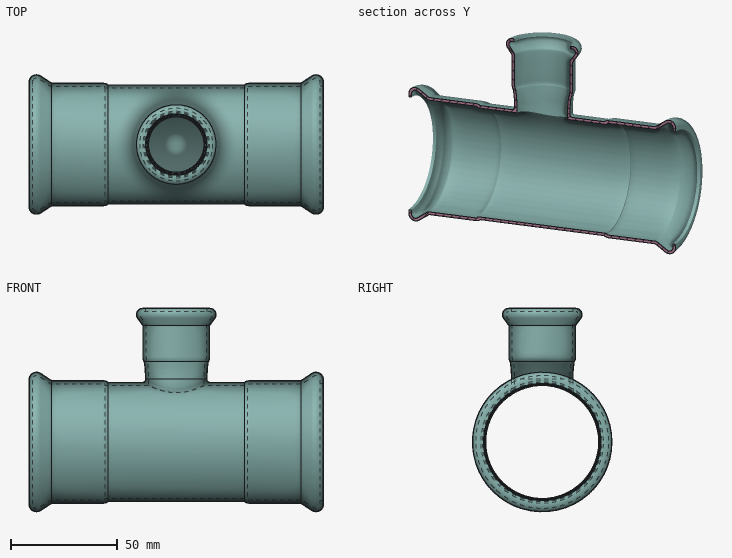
import cadquery as cq
import math


run_half_length = 69.0
run_tube_radius = 56.0 / 2
run_tube_bore_radius = 53.0 / 2
run_socket_radius = 57.5 / 2
run_socket_bore_radius = 54.4 / 2
run_step_start = 32.0
run_step_end = 34.2
run_stop_depth = 0.75
run_flare_start = 58.4
run_bead_outer_radius = 65.46 / 2
run_bead_roll_radius = 3.5
run_lip_radius = 55.0 / 2

branch_top = 62.7
branch_joint = 29.5
branch_tube_radius = 29.0 / 2
branch_tube_bore_radius = 26.0 / 2
branch_socket_radius = 31.3 / 2
branch_socket_bore_radius = 28.2 / 2
branch_neck_start = 31.2
branch_shoulder_start = 37.65
branch_shoulder_end = 39.7
branch_shoulder_radius = 15.05
branch_flare_start = 54.55
branch_bead_outer_radius = 37.3 / 2
branch_bead_roll_radius = 3.0
branch_lip_radius = 28.8 / 2

stub_fillet_radius = 1.0


def polar(center, radius, angle):
    """Point at a radius and an angle (from the axial direction) around a center."""
    return (center[0] + radius * math.cos(angle), center[1] + radius * math.sin(angle))


def flare_normal_angle(corner, bead_center, roll_radius):
    """Angle of the outward normal of the flare that leaves corner and is tangent to the bead."""
    along = bead_center[0] - corner[0]
    out = bead_center[1] - corner[1]
    to_corner = math.pi + math.atan2(out, along)
    return to_corner - math.acos(roll_radius / math.hypot(along, out))


def mouth_outer(outline, face, flare_start, socket_radius, bead_outer_radius, roll_radius):
    """Continue an (axial, radial) outline along the socket, up the flare and over the bead."""
    bead_center = (face - roll_radius, bead_outer_radius - roll_radius)
    corner = (flare_start, socket_radius)
    normal = flare_normal_angle(corner, bead_center, roll_radius)
    middle = normal / 2
    return (
        outline.lineTo(*corner)
        .lineTo(*polar(bead_center, roll_radius, normal))
        .threePointArc(polar(bead_center, roll_radius, middle), (face, bead_center[1]))
        .lineTo(face, 0)
        .close()
    )


def mouth_bore(
    outline, face, flare_start, socket_radius, bore_radius, bead_outer_radius, roll_radius, lip_radius
):
    """Continue a bore outline one wall inside the socket, into the hollow bead and out of the lip."""
    wall = socket_radius - bore_radius
    inner_roll = roll_radius - wall
    bead_center = (face - roll_radius, bead_outer_radius - roll_radius)
    corner = (flare_start, socket_radius)
    normal = flare_normal_angle(corner, bead_center, roll_radius)
    bend_end = normal + math.pi
    bend_middle = (bend_end + 1.5 * math.pi) / 2
    return (
        outline.lineTo(flare_start, bore_radius)
        .threePointArc(polar(corner, wall, bend_middle), polar(corner, wall, bend_end))
        .lineTo(*polar(bead_center, inner_roll, normal))
        .threePointArc(polar(bead_center, inner_roll, normal / 2), (face - wall, bead_center[1]))
        .lineTo(face - wall, lip_radius)
        .lineTo(face, lip_radius)
        .lineTo(face, 0)
        .close()
    )


def revolve_about_x(outline):
    """Solid of revolution of an (axial, radial) outline that lies along X."""
    return outline.revolve(360, (0, 0, 0), (1, 0, 0))


def rounding_radius(length, rise):
    """Radius of an arc that covers length and rise and is level at one end."""
    return (length**2 + rise**2) / (2 * rise)


def shoulder_arc(outline, start, end):
    """Arc that rises from start and runs level into end."""
    length = end[0] - start[0]
    radius = rounding_radius(length, end[1] - start[1])
    center = (end[0], end[1] - radius)
    half_turn = math.asin(length / radius) / 2
    return outline.threePointArc(polar(center, radius, math.pi / 2 + half_turn), end)


def foot_arc(outline, start, end):
    """Arc that leaves start level and rises to end."""
    length = end[0] - start[0]
    radius = rounding_radius(length, end[1] - start[1])
    center = (start[0], start[1] + radius)
    half_turn = math.asin(length / radius) / 2
    return outline.threePointArc(polar(center, radius, half_turn - math.pi / 2), end)


def branch_outline(tube_radius, shoulder_radius, socket_radius):
    """Branch outline from the joint, along the tube and the widening neck to the socket."""
    neck_start = (branch_neck_start, tube_radius)
    shoulder_start = (branch_shoulder_start, shoulder_radius)
    outline = cq.Workplane("XY").moveTo(branch_joint, 0).lineTo(branch_joint, tube_radius).lineTo(*neck_start)
    outline = foot_arc(outline, neck_start, shoulder_start)
    return shoulder_arc(outline, shoulder_start, (branch_shoulder_end, socket_radius))


def with_mirror(half):
    """Half of the run together with its mirror image across the middle."""
    return half.union(half.mirror("YZ"))


def run_outer():
    """Run without its bore: a tube that rises over a rounded shoulder into each socket."""
    step_start = (run_step_start, run_tube_radius)
    outline = cq.Workplane("XY").lineTo(0, run_tube_radius).lineTo(*step_start)
    outline = shoulder_arc(outline, step_start, (run_step_end, run_socket_radius))
    outline = mouth_outer(
        outline, run_half_length, run_flare_start, run_socket_radius,
        run_bead_outer_radius, run_bead_roll_radius,
    )
    return with_mirror(revolve_about_x(outline))


def run_bore():
    """Bore of the run: each socket follows the shoulder for a short way, then ends at a flat pipe stop."""
    wall = run_socket_radius - run_socket_bore_radius
    outer_round = rounding_radius(run_step_end - run_step_start, run_socket_radius - run_tube_radius)
    inner_round = outer_round - wall
    stop_drop = inner_round - math.sqrt(inner_round**2 - run_stop_depth**2)
    stop_corner = (run_step_end - run_stop_depth, run_socket_bore_radius - stop_drop)
    outline = cq.Workplane("XY").lineTo(0, run_tube_bore_radius).lineTo(stop_corner[0], run_tube_bore_radius)
    outline = outline.lineTo(*stop_corner)
    outline = shoulder_arc(outline, stop_corner, (run_step_end, run_socket_bore_radius))
    outline = mouth_bore(
        outline, run_half_length, run_flare_start, run_socket_radius, run_socket_bore_radius,
        run_bead_outer_radius, run_bead_roll_radius, run_lip_radius,
    )
    return with_mirror(revolve_about_x(outline))


def make_tee():
    """Run with its stub, hollow all the way through."""
    stub = cq.Workplane("XY").circle(branch_tube_radius).extrude(branch_joint)
    outer = run_outer().union(stub)
    reach = branch_tube_radius + stub_fillet_radius
    stub_foot = cq.selectors.BoxSelector(
        (-reach, -reach, 0), (reach, reach, branch_joint - stub_fillet_radius / 2), boundingbox=True
    )
    outer = outer.edges(stub_foot).edges("not %CIRCLE").fillet(stub_fillet_radius)
    stub_bore = cq.Workplane("XY").circle(branch_tube_bore_radius).extrude(branch_joint)
    return outer.cut(run_bore()).cut(stub_bore)


def make_branch_socket():
    """Branch socket from the stub joint up to its lip."""
    outline = branch_outline(branch_tube_radius, branch_shoulder_radius, branch_socket_radius)
    outline = mouth_outer(
        outline, branch_top, branch_flare_start, branch_socket_radius,
        branch_bead_outer_radius, branch_bead_roll_radius,
    )
    tube_wall = branch_tube_radius - branch_tube_bore_radius
    bore = branch_outline(
        branch_tube_bore_radius, branch_shoulder_radius - tube_wall, branch_socket_bore_radius
    )
    bore = mouth_bore(
        bore, branch_top, branch_flare_start, branch_socket_radius, branch_socket_bore_radius,
        branch_bead_outer_radius, branch_bead_roll_radius, branch_lip_radius,
    )
    lying = revolve_about_x(outline).cut(revolve_about_x(bore))
    return lying.rotate((0, 0, 0), (0, 1, 0), -90)


tee = make_tee()
branch_socket = make_branch_socket()
result = cq.Compound.makeCompound([tee.val(), branch_socket.val()])